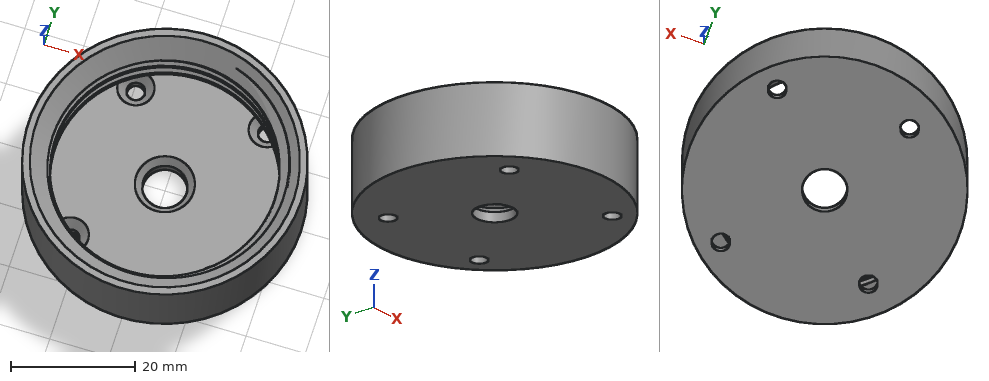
import cadquery as cq
import math

outer_diameter = 46.0
height = 13.0
floor_thickness = 3.0

bore_diameter = 37.0
mouth_diameter = 43.5
lead_in_depth = 2.5

thread_root_diameter = 40.35
pitch = 3.0
crest_width = 0.8
flank_angle = 30.0
thread_turn = 82.0
thread_overrun = pitch
groove_overlap = 0.2

center_hole_diameter = 7.28
center_sink_diameter = 9.68
screw_hole_diameter = 3.0
screw_sink_diameter = 6.0
screw_hole_positions = [(-9.46, 14.45), (12.9, 13.9), (-11.9, -12.9), (12.9, -13.9)]


def cylinder(diameter, bottom, top):
    """Solid cylinder on the Z axis between two heights."""
    return cq.Workplane("XY", origin=(0, 0, bottom)).circle(diameter / 2).extrude(top - bottom)


def revolve_about_z(profile):
    """Solid of revolution from (radius, height) points."""
    return cq.Workplane("XZ").polyline(profile).close().revolve(360, (0, 0, 0), (0, 1, 0))


def make_thread_groove(bottom, top):
    """Helical trapezoidal ridge that cuts the groove between the thread crests."""
    bore_radius = bore_diameter / 2
    root_radius = thread_root_diameter / 2
    inner_radius = bore_radius - groove_overlap
    flank_slope = math.tan(math.radians(flank_angle))
    half_opening = (pitch - crest_width) / 2
    half_root = half_opening - flank_slope * (root_radius - bore_radius)
    half_inner = half_opening + flank_slope * groove_overlap

    helix = cq.Wire.makeHelix(pitch, top - bottom, bore_radius)
    return (
        cq.Workplane("XZ")
        .polyline([
            (inner_radius, -half_inner),
            (root_radius, -half_root),
            (root_radius, half_root),
            (inner_radius, half_inner),
        ])
        .close()
        .sweep(cq.Workplane(helix), isFrenet=True)
        .translate((0, 0, bottom))
        .rotate((0, 0, 0), (0, 0, 1), thread_turn)
    )


def make_lead_in():
    """Cone that opens the bore out towards the rim."""
    cone_bottom = height - lead_in_depth
    return revolve_about_z([
        (0, cone_bottom),
        (bore_diameter / 2, cone_bottom),
        (mouth_diameter / 2, height),
        (0, height),
    ])


def make_threaded_cavity():
    """Everything removed above the floor: bore, thread groove and lead-in."""
    thread_bottom = floor_thickness - thread_overrun
    thread_top = height + thread_overrun
    plug = cylinder(bore_diameter, thread_bottom - thread_overrun, thread_top + thread_overrun)
    plug = plug.union(make_thread_groove(thread_bottom, thread_top))
    plug = plug.intersect(cylinder(outer_diameter, floor_thickness, height))
    return plug.union(make_lead_in())


def make_countersunk_hole(hole_diameter, sink_diameter, x, y):
    """Through hole in the floor with a 45 degree countersink on its inner side."""
    hole_radius = hole_diameter / 2
    sink_radius = sink_diameter / 2
    sink_depth = sink_radius - hole_radius
    cutter = revolve_about_z([
        (0, 0),
        (hole_radius, 0),
        (hole_radius, floor_thickness - sink_depth),
        (sink_radius, floor_thickness),
        (0, floor_thickness),
    ])
    return cutter.translate((x, y, 0))


result = cylinder(outer_diameter, 0, height).cut(make_threaded_cavity())
result = result.cut(make_countersunk_hole(center_hole_diameter, center_sink_diameter, 0, 0))
for hole_x, hole_y in screw_hole_positions:
    result = result.cut(make_countersunk_hole(screw_hole_diameter, screw_sink_diameter, hole_x, hole_y))